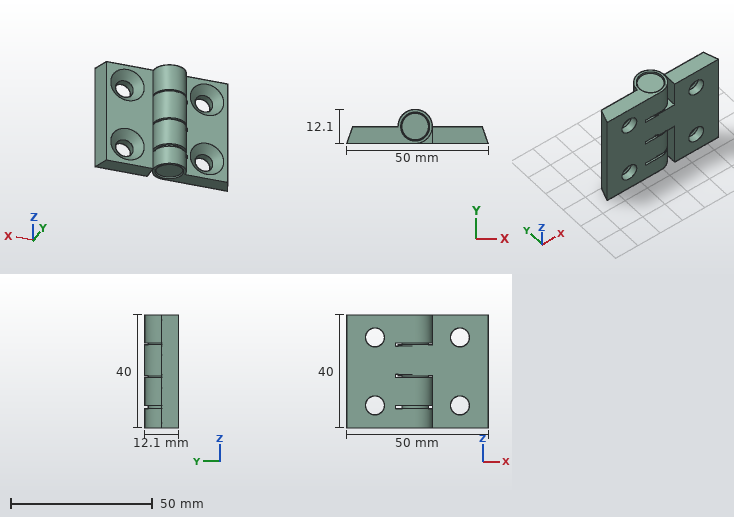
import cadquery as cq

length = 50.0
height = 40.0
thickness = 6.0
edge_taper = 2.1
pin_from_left = 24.2
left_end = -pin_from_left
right_end = left_end + length
front = -thickness

left_knuckle_radius = thickness
middle_knuckle_radius = 6.1
bore_radius = 5.05
pin_radius = 4.75
pin_recess = 0.5

slot_gap = 1.05
end_gap = slot_gap / 2
knuckle_pitch = 11.0
top_knuckle_height = 10.05
slot_left = -6.9
slot_right = middle_knuckle_radius
slot_tops = [height - top_knuckle_height - i * knuckle_pitch for i in range(3)]
slot_bottoms = [top - slot_gap for top in slot_tops]

hole_radius = 3.3
hole_from_end = 10.0
hole_from_edge = 8.0
countersink_depth = 3.0
countersink_radius = hole_radius + countersink_depth


def prism(points, bottom, top):
    """Extrude an XY outline between two Z levels."""
    return cq.Workplane("XY").workplane(offset=bottom).polyline(points).close().extrude(top - bottom)


def block(left, right, bottom, top, back=0.0):
    """Rectangular block reaching from the front face to the given Y."""
    return prism([(left, front), (right, front), (right, back), (left, back)], bottom, top)


def cylinder(radius, bottom, top):
    """Cylinder on the pin axis."""
    return cq.Workplane("XY").workplane(offset=bottom).circle(radius).extrude(top - bottom)


def plate_and_left_knuckles():
    """Tapered plate with the left leaf's knuckles, open beside and between them."""
    outline = [(left_end, front), (right_end, front), (right_end - edge_taper, 0), (left_end + edge_taper, 0)]
    plate = prism(outline, 0, height)
    plate = plate.cut(block(0, slot_right, slot_bottoms[0], height))
    plate = plate.cut(block(0, slot_right, 0, slot_tops[1]))
    for bottom, top in ((slot_tops[0], height), (0, slot_bottoms[1])):
        plate = plate.union(cylinder(left_knuckle_radius, bottom, top))
    for bottom, top in zip(slot_bottoms, slot_tops):
        plate = plate.cut(block(slot_left, slot_right, bottom, top, left_knuckle_radius))
    return plate


def middle_knuckle():
    """Right leaf's knuckle, trimmed flush with the front face."""
    bottom = slot_tops[1] - end_gap
    top = slot_bottoms[0] + end_gap
    knuckle = cylinder(middle_knuckle_radius, bottom, top)
    knuckle = knuckle.intersect(
        block(-middle_knuckle_radius, middle_knuckle_radius, bottom, top, middle_knuckle_radius)
    )
    return knuckle.union(block(0, slot_right, bottom, top))


def screw_hole(x, z):
    """Through hole with a conical countersink in the back face."""
    profile = [
        (0, front),
        (hole_radius, front),
        (hole_radius, -countersink_depth),
        (countersink_radius, 0),
        (0, 0),
    ]
    cutter = cq.Workplane("XY").polyline(profile).close().revolve(360, (0, 0), (0, 1))
    return cutter.translate((x, 0, z))


def make_hinge():
    hinge = plate_and_left_knuckles().union(middle_knuckle())
    hinge = hinge.cut(cylinder(bore_radius, 0, height))
    for x in (left_end + hole_from_end, right_end - hole_from_end):
        for z in (hole_from_edge, height - hole_from_edge):
            hinge = hinge.cut(screw_hole(x, z))
    return hinge


def make_pin():
    """Pin with running clearance in the bore, sunk below both hinge ends."""
    return cylinder(pin_radius, pin_recess, height - pin_recess)


hinge = make_hinge()
pin = make_pin()
result = cq.Compound.makeCompound([hinge.solids().val(), pin.val()])